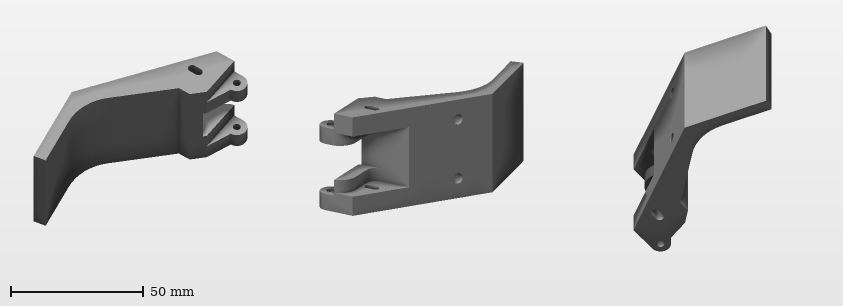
import cadquery as cq
import math

length = 80.9
width = 49.7
height = 40.0

back_left_x = 33.7
hinge_face_x = 41.8
hinge_face_end_y = -18.1
front_face_y = -22.75
front_face_left_x = 32.1
knee_y = -47.5

arm_thickness = 5.0
arm_angle = math.radians(10)
inner_bend_radius = 20.0

knuckle_radius = 4.0
pin_diameter = 3.0
pin_x = width - knuckle_radius
pin_y = -knuckle_radius
knuckle_height = 6.6

pocket_end_y = -19.1
window_height = 24.45
open_band_height = 13.9
rib_round_radius = 7.05
rib_round_center_y = -6.9
pocket_fillet_radius = 4.2

slot_length = 6.15
slot_width = 3.15
slot_x = 32.2
slot_y = -12.05

drill_diameter = 4.2
drill_depth = 4.8
drill_tip_angle = math.radians(118)
drill_y = -35.6
drill_edge_distance = 8.0


def make_body():
    """Bent plate: slanted wall, 45 degree inner faces and the lower arm."""
    tip_outer_x = (length + knee_y) * math.tan(arm_angle)
    tip_inner_x = tip_outer_x + arm_thickness * math.cos(arm_angle)
    tip_inner_y = -length + arm_thickness * math.sin(arm_angle)
    chamfer_x = hinge_face_x - (hinge_face_end_y - front_face_y)

    slope = math.tan(arm_angle)
    diagonal_offset = front_face_y - front_face_left_x
    bend_x = (tip_inner_x + slope * (tip_inner_y - diagonal_offset)) / (1 + slope)
    bend_y = bend_x + diagonal_offset

    outline = [
        (0, knee_y),
        (back_left_x, 0),
        (hinge_face_x, 0),
        (hinge_face_x, hinge_face_end_y),
        (chamfer_x, front_face_y),
        (front_face_left_x, front_face_y),
        (bend_x, bend_y),
        (tip_inner_x, tip_inner_y),
        (tip_outer_x, -length),
    ]
    body = cq.Workplane("XY").polyline(outline).close().extrude(height)
    bend_edge = cq.selectors.NearestToPointSelector((bend_x, bend_y, height / 2))
    return body.edges("|Z").edges(bend_edge).fillet(inner_bend_radius)


def make_knuckle(bottom_z):
    """Hinge knuckle, rounded about the pin and braced toward the front."""
    return (
        cq.Workplane("XY", origin=(0, 0, bottom_z))
        .moveTo(hinge_face_x, 0)
        .lineTo(pin_x, 0)
        .threePointArc((width, pin_y), (pin_x, -2 * knuckle_radius))
        .lineTo(hinge_face_x, hinge_face_end_y)
        .close()
        .extrude(knuckle_height)
    )


def make_window():
    """Pocket from the slanted face that leaves a rounded rib at the hinge side."""
    diagonal = math.sqrt(0.5)

    rib_round_center_x = hinge_face_x + math.sqrt(rib_round_radius**2 - rib_round_center_y**2)
    rib_face_x = rib_round_center_x - rib_round_radius
    rib_arc_x = rib_round_center_x - rib_round_radius * diagonal
    rib_arc_y = rib_round_center_y + rib_round_radius * diagonal

    fillet_arc_x = rib_face_x - pocket_fillet_radius * (1 - diagonal)
    fillet_arc_y = pocket_end_y + pocket_fillet_radius * (1 - diagonal)
    return (
        cq.Workplane("XY", origin=(0, 0, (height - window_height) / 2))
        .moveTo(0, 0)
        .lineTo(hinge_face_x, 0)
        .threePointArc((rib_arc_x, rib_arc_y), (rib_face_x, rib_round_center_y))
        .lineTo(rib_face_x, pocket_end_y + pocket_fillet_radius)
        .threePointArc((fillet_arc_x, fillet_arc_y), (rib_face_x - pocket_fillet_radius, pocket_end_y))
        .lineTo(0, pocket_end_y)
        .close()
        .extrude(window_height)
    )


def make_open_band():
    """Middle band of the pocket, open across the full width."""
    band_z = (height - open_band_height) / 2
    return cq.Workplane("XY", origin=(0, pocket_end_y, band_z)).box(
        width, -pocket_end_y, open_band_height, centered=False
    )


def make_drilled_hole(center_z):
    """Blind hole with a conical tip, square to the slanted face."""
    wall_length = math.hypot(back_left_x, knee_y)
    inward = cq.Vector(-knee_y / wall_length, -back_left_x / wall_length, 0)
    entry_x = back_left_x * (1 - drill_y / knee_y)
    entry = cq.Vector(entry_x, drill_y, center_z)
    radius = drill_diameter / 2
    tip_length = radius / math.tan(drill_tip_angle / 2)
    bore = cq.Solid.makeCylinder(radius, drill_depth, entry, inward)
    tip = cq.Solid.makeCone(radius, 0, tip_length, entry + inward * drill_depth, inward)
    return cq.Workplane(obj=bore.fuse(tip))


result = make_body()
for knuckle_z in (0, (height + open_band_height) / 2):
    result = result.union(make_knuckle(knuckle_z))

result = result.cut(make_window()).cut(make_open_band())

pin_hole = cq.Workplane("XY").center(pin_x, pin_y).circle(pin_diameter / 2).extrude(height)
slot = cq.Workplane("XY").center(slot_x, slot_y).slot2D(slot_length, slot_width).extrude(height)
result = result.cut(pin_hole).cut(slot)

for hole_z in (drill_edge_distance, height - drill_edge_distance):
    result = result.cut(make_drilled_hole(hole_z))